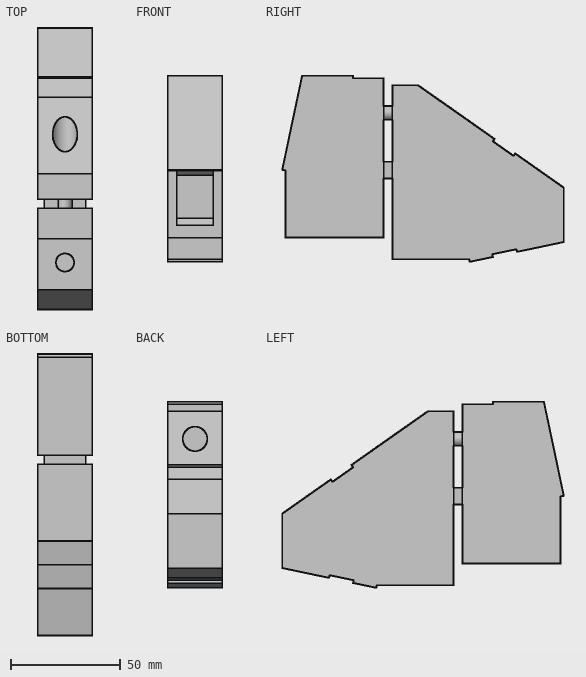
import cadquery as cq
import math

width = 25.0
gap = 4.0

front_length = 44.9
front_height = 74.0
top_step_length = 14.0
top_step_drop = 1.2
brow_top_y = -37.3
brow_tip_y = -46.4
brow_tip_z = 30.9
screw_hole_diameter = 8.3
screw_hole_y = -24.85
screw_hole_depth = 3.0

window_width = 16.6
window_depth = 3.1
window_sill_z = 5.6
window_sill_rise = 3.1
window_back_top_z = 28.5

rear_length = 78.38
rear_top_z = 69.6
rear_bottom_z = -10.0
roof_start_y = 15.75
rear_face_top_z = 22.8
rear_face_bottom_z = -2.1
roof_groove_near_y = 50.7
roof_groove_far_y = 60.1
roof_groove_depth = 1.3
belly_tip_y = 39.3
belly_tip_z = -11.17
belly_groove_near_y = 50.0
belly_groove_far_y = 60.9
belly_groove_depth = 1.25

pin_diameter = 6.4
pin_z = 56.95
bar_width = 19.0
bar_bottom_z = 26.9
bar_height = 7.8

bore_diameter = 11.2

rear_inner_y = gap
rear_face_y = gap + rear_length


def extrude_profile(points, profile_width):
    """Extrude a (Y, Z) outline symmetrically about X = 0."""
    return cq.Workplane("YZ").polyline(points).close().extrude(profile_width / 2, both=True)


def make_front_block():
    brow_slope = (brow_top_y - brow_tip_y) / (front_height - brow_tip_z)
    brow_overhang = -front_length - brow_tip_y
    brow_root_z = brow_tip_z - brow_overhang * brow_slope
    block = extrude_profile(
        [
            (0, 0),
            (0, front_height - top_step_drop),
            (-top_step_length, front_height - top_step_drop),
            (-top_step_length, front_height),
            (brow_top_y, front_height),
            (brow_tip_y, brow_tip_z),
            (-front_length, brow_root_z),
            (-front_length, 0),
        ],
        width,
    )
    window_back_y = window_depth - front_length
    window = extrude_profile(
        [
            (-front_length, window_sill_z),
            (window_back_y, window_sill_z + window_sill_rise),
            (window_back_y, window_back_top_z),
            (-front_length, brow_root_z),
        ],
        window_width,
    )
    screw_hole = (
        cq.Workplane("XY", origin=(0, screw_hole_y, front_height))
        .circle(screw_hole_diameter / 2)
        .extrude(-screw_hole_depth)
    )
    return block.cut(window).cut(screw_hole)


roof_angle = math.atan2(rear_top_z - rear_face_top_z, rear_face_y - roof_start_y)
belly_angle = math.atan2(rear_face_bottom_z - belly_tip_z, rear_face_y - belly_tip_y)


def roof_point(y, depth=0.0):
    """Point below the roof line, measured square to the roof from its place at y."""
    z = rear_top_z - (y - roof_start_y) * math.tan(roof_angle)
    return (y - depth * math.sin(roof_angle), z - depth * math.cos(roof_angle))


def belly_point(y, depth=0.0):
    """Point above the belly line, measured square to the belly from its place at y."""
    z = belly_tip_z + (y - belly_tip_y) * math.tan(belly_angle)
    return (y - depth * math.sin(belly_angle), z + depth * math.cos(belly_angle))


def make_rear_block():
    belly_lip = (rear_bottom_z - belly_tip_z) / math.cos(belly_angle)
    block = extrude_profile(
        [
            (rear_inner_y, rear_bottom_z),
            (rear_inner_y, rear_top_z),
            roof_point(roof_start_y),
            roof_point(roof_groove_near_y),
            roof_point(roof_groove_near_y, roof_groove_depth),
            roof_point(roof_groove_far_y, roof_groove_depth),
            roof_point(roof_groove_far_y),
            roof_point(rear_face_y),
            belly_point(rear_face_y),
            belly_point(belly_groove_far_y),
            belly_point(belly_groove_far_y, belly_groove_depth),
            belly_point(belly_groove_near_y, belly_groove_depth),
            belly_point(belly_groove_near_y),
            belly_point(belly_tip_y),
            belly_point(belly_tip_y, belly_lip),
        ],
        width,
    )
    bore = (
        cq.Workplane("XZ", origin=(0, roof_start_y, pin_z))
        .circle(bore_diameter / 2)
        .extrude(roof_start_y - rear_face_y)
    )
    return block.cut(bore)


def make_pin():
    return cq.Workplane("XZ", origin=(0, 0, pin_z)).circle(pin_diameter / 2).extrude(-gap)


def make_bar():
    return cq.Workplane("XY", origin=(0, gap / 2, bar_bottom_z)).rect(bar_width, gap).extrude(bar_height)


result = make_front_block().union(make_pin()).union(make_bar()).union(make_rear_block())